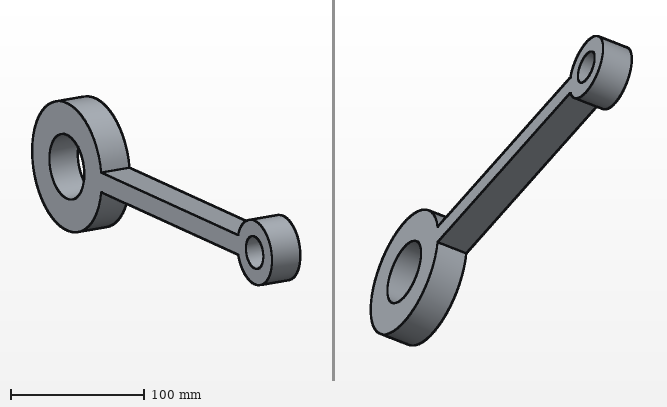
import cadquery as cq

length = 344.2
thickness = 25.0
big_outer = 100.0
big_bore = big_outer / 2
small_outer = big_outer / 2
small_bore = small_outer / 2
rod_height = 15.5
center_distance = length - (big_outer + small_outer) / 2


def cylinder(diameter, x):
    """Cylinder along Y, centred on the mid-plane, at the given X."""
    return cq.Workplane("XZ").center(x, 0).circle(diameter / 2).extrude(thickness / 2, both=True)


rod = cq.Workplane("XY").box(center_distance, thickness, rod_height).translate((center_distance / 2, 0, 0))

body = rod.union(cylinder(big_outer, 0)).union(cylinder(small_outer, center_distance))
result = body.cut(cylinder(big_bore, 0)).cut(cylinder(small_bore, center_distance))